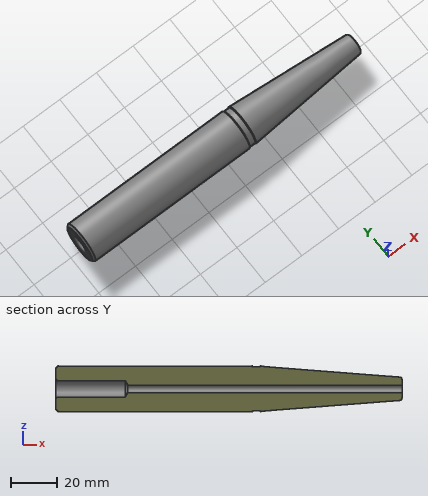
import cadquery as cq
import math

total_length = 150.0
shank_length = 85.0
groove_width = 3.6

shank_diameter = 20.0
groove_diameter = 19.2
nose_diameter = 19.8
tip_diameter = 10.2

shank_chamfer = 1.0
tip_fillet = 1.4

bore_diameter = 6.9
bore_depth = 30.0
bore_tip_angle = 118.0
bore_lip_radius = 1.0
through_diameter = 3.0


def revolve_about_x(outline):
    """Solid of revolution from (x, radius) points closed along the X axis."""
    return cq.Workplane("XY").polyline(outline).close().revolve(360, (0, 0, 0), (1, 0, 0))


def make_body():
    """Chamfered shank, shallow groove with 45 degree walls and long tapered nose."""
    shank_radius = shank_diameter / 2
    groove_radius = groove_diameter / 2
    nose_radius = nose_diameter / 2
    groove_end = shank_length + groove_width
    body = revolve_about_x([
        (0, 0),
        (0, shank_radius - shank_chamfer),
        (shank_chamfer, shank_radius),
        (shank_length, shank_radius),
        (shank_length + shank_radius - groove_radius, groove_radius),
        (groove_end - (nose_radius - groove_radius), groove_radius),
        (groove_end, nose_radius),
        (total_length, tip_diameter / 2),
        (total_length, 0),
    ])
    return body.faces(">X").edges().fillet(tip_fillet)


def make_bore():
    """Blind bore with a drill-point bottom that opens into a through hole."""
    bore_radius = bore_diameter / 2
    through_radius = through_diameter / 2
    drill_point_length = (bore_radius - through_radius) / math.tan(math.radians(bore_tip_angle / 2))
    return revolve_about_x([
        (0, 0),
        (0, bore_radius),
        (bore_depth, bore_radius),
        (bore_depth + drill_point_length, through_radius),
        (total_length, through_radius),
        (total_length, 0),
    ])


def round_bore_lip(part):
    """Round the mouth of the bore in the shank end face."""
    return part.faces("<X").edges(cq.selectors.RadiusNthSelector(0)).fillet(bore_lip_radius)


result = round_bore_lip(make_body().cut(make_bore()))